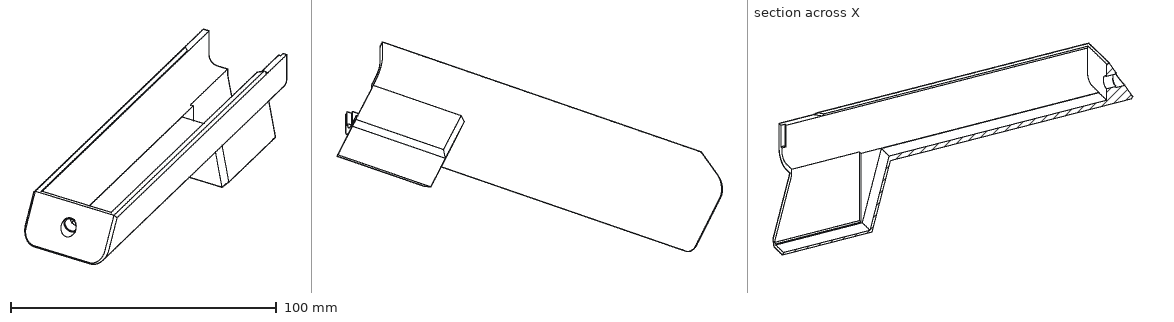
import cadquery as cq
import math

tray_width = 36.0
tray_height = 18.1
wall = 2.5
outer_radius = 6.1
inner_radius = outer_radius - wall
edge_chamfer = 1.0
nose_tip_y = -141.0
nose_angle = 30
cavity_front_y = -129.3
lip_overhang = 0.5

rim_z = tray_height - edge_chamfer
tail_step_y = -14.5

hole_z = 10.0
hole_diameter = 5.2
counterbore_diameter = 6.2
counterbore_end_y = -133.3

handle_width = 18.2
handle_depth = 28.9
handle_length = 38.0
handle_angle = 15
handle_chamfer = 2.1
handle_wall = 1.6
handle_floor = 1.6

pocket_width = handle_width - 2 * handle_wall
pocket_front_y = -28.6
pocket_bottom_z = handle_floor - handle_depth
slot_step = 0.5
slot_front_wall = 1.3
groove_width = 12.5
groove_depth = 0.1

notch_width = 0.9
notch_length = 1.8
notch_bottom_z = 7.7

half_width = tray_width / 2
cavity_half_width = half_width - wall
lean = math.tan(math.radians(handle_angle))
handle_back_y = lean * handle_depth
clearance = 1.5
above_tray = tray_height + clearance
above_floor = wall + clearance
beyond_tail = handle_back_y + clearance


def box(x_min, x_max, y_min, y_max, z_min, z_max):
    """Axis-aligned block between the given limits."""
    block = cq.Workplane("XY").box(x_max - x_min, y_max - y_min, z_max - z_min, centered=False)
    return block.translate((x_min, y_min, z_min))


def side_prism(points, width):
    """Prism along X, centred on X = 0, from (Y, Z) points."""
    return cq.Workplane("YZ").polyline(points).close().extrude(width / 2, both=True)


def make_tray_body():
    """Solid tray block with rounded lower sides, leaning nose and chamfered edges."""
    nose_top_y = nose_tip_y + tray_height * math.tan(math.radians(nose_angle))
    outline = [(0, 0), (nose_tip_y, 0), (nose_top_y, tray_height), (0, tray_height)]
    body = side_prism(outline, tray_width)
    body = body.edges("|Y and <Z").fillet(outer_radius)
    long_top_edges = body.faces(">Z").edges("|Y")
    nose_edges = body.faces("<Y").edges("not >Z")
    return body.newObject(long_top_edges.vals() + nose_edges.vals()).chamfer(edge_chamfer)


def make_cavity():
    """Space inside the tray, narrowing under the lip, open at the tail."""
    lip_half_width = cavity_half_width - lip_overhang
    length = beyond_tail - cavity_front_y
    lower = box(-cavity_half_width, cavity_half_width, cavity_front_y, beyond_tail, wall, rim_z)
    lower = lower.edges("|Y and <Z").fillet(inner_radius)
    lip_outline = [
        (-cavity_half_width, rim_z),
        (cavity_half_width, rim_z),
        (lip_half_width, tray_height),
        (-lip_half_width, tray_height),
    ]
    upper = cq.Workplane("XZ", origin=(0, beyond_tail, 0)).polyline(lip_outline).close().extrude(length)
    return lower.union(upper)


def make_tail_relief():
    """Cutter lowering the side walls at the tail, ending in faces at 45 degrees."""
    outline = [
        (-half_width, beyond_tail),
        (-half_width, tail_step_y),
        (0, tail_step_y - half_width),
        (half_width, tail_step_y),
        (half_width, beyond_tail),
    ]
    cutter = cq.Workplane("XY", origin=(0, 0, rim_z)).polyline(outline).close()
    return cutter.extrude(above_tray - rim_z)


def make_nose_hole():
    """Stepped hole along Y, wider at the outside of the nose."""
    inside_y = cavity_front_y + clearance
    inside = cq.Workplane("XZ", origin=(0, inside_y, hole_z))
    bore = inside.circle(hole_diameter / 2).extrude(inside_y - nose_tip_y)
    outside = cq.Workplane("XZ", origin=(0, counterbore_end_y, hole_z))
    counterbore = outside.circle(counterbore_diameter / 2).extrude(counterbore_end_y - nose_tip_y)
    return bore.union(counterbore)


def make_handle():
    """Leaning handle, chamfered on the upright front edges and the lower side edges."""
    top_z = wall / 2
    front_y = handle_back_y - handle_length
    rise = lean * (handle_depth + top_z)
    outline = [
        (handle_back_y, -handle_depth),
        (front_y, -handle_depth),
        (front_y - rise, top_z),
        (handle_back_y - rise, top_z),
    ]
    handle = side_prism(outline, handle_width)
    front_edges = handle.faces("<Y").edges("not |X").vals()
    lower_edges = handle.faces("<Z").edges("|Y").vals()
    return handle.newObject(front_edges + lower_edges).chamfer(handle_chamfer)


def make_handle_openings():
    """Pocket and narrower leaning slot in the handle, both open at the back and into the tray."""
    pocket = box(
        -pocket_width / 2, pocket_width / 2, pocket_front_y, beyond_tail, pocket_bottom_z, above_floor
    )
    slot_bottom_z = pocket_bottom_z - slot_step
    slot_rise = lean * (handle_depth + slot_bottom_z)
    slot_front_y = handle_back_y - handle_length + slot_front_wall - slot_rise
    slot_outline = [
        (beyond_tail, slot_bottom_z),
        (slot_front_y, slot_bottom_z),
        (slot_front_y - lean * (above_floor - slot_bottom_z), above_floor),
        (beyond_tail, above_floor),
    ]
    return pocket.union(side_prism(slot_outline, groove_width))


floor_groove = box(
    -groove_width / 2, groove_width / 2, cavity_front_y, beyond_tail, wall - groove_depth, above_floor
)
notch = box(
    cavity_half_width - clearance,
    cavity_half_width + notch_width,
    -notch_length,
    clearance,
    notch_bottom_z,
    above_tray,
)

result = (
    make_tray_body()
    .union(make_handle())
    .cut(make_cavity())
    .cut(make_tail_relief())
    .cut(floor_groove)
    .cut(make_handle_openings())
    .cut(make_nose_hole())
    .cut(notch)
)